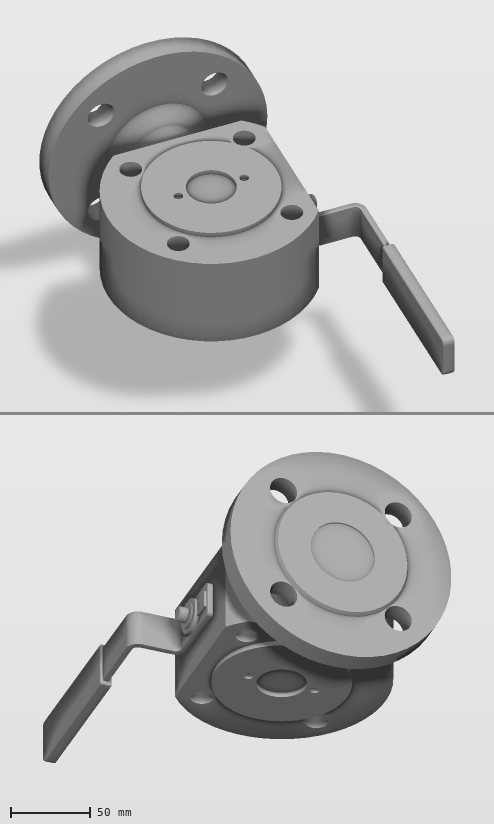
import cadquery as cq
import math


BODY_RADIUS = 70.5
BODY_HEIGHT = 64.7
FLAT_OFFSET = 55.2
PAD_RADIUS = 44.5
PAD_HEIGHT = 3.3
PORT_RADIUS = 16.0
PORT_DEPTH = 3.3
PIN_HOLE_RADIUS = 3.0
PIN_HOLE_DEPTH = 3.3
PIN_HOLE_OFFSET = 22.5
BOLT_OFFSET = 38.8
BODY_BOLT_RADIUS = 7.2

FLANGE_RADIUS = 75.0
FLANGE_THICKNESS = 15.0
FLANGE_BACK = -87.0
FLANGE_FRONT = FLANGE_BACK - FLANGE_THICKNESS
FLANGE_BOLT_RADIUS = 9.2
FACE_X = -105.2
FACE_BASE_RADIUS = 45.5
FACE_RADIUS = 43.8
FACE_PORT_RADIUS = 21.6
FACE_PORT_DEPTH = 1.0
NECK_RADIUS = 24.1
HUB_END = -77.7
HUB_BLEND_X = -85.5
HUB_BLEND_RADIUS = NECK_RADIUS + HUB_END - HUB_BLEND_X
HUB_RADIUS = 33.9
FLARE_LENGTH = 5.0
FLARE_RADIUS = 6.0

STRIP = 4.0
LEVER_GAP = 0.8
LEVER_WIDTH = 24.5
LEVER_START = -24.5
CRANK_X = 24.0
LEVER_TOP = 93.0
INNER_BEND = 4.0
LEVER_CORNER = 2.5
WASHER_RADIUS = 11.7
WASHER_HEIGHT = 3.3
CONE_BASE_RADIUS = 8.3
CONE_TOP_RADIUS = 9.2
CONE_HEIGHT = 1.7
STEM_RADIUS = 5.0
STEM_TOP = 70.8
STEM_CHAMFER = 0.8
STOP_START = -22.8
STOP_WIDTH = 11.0
STOP_HEIGHT = 1.7

GRIP_START = 72.2
OVERALL_LENGTH = 277.5
GRIP_END = FACE_X + OVERALL_LENGTH
GRIP_WIDTH = 30.0
GRIP_TOP = 94.5
GRIP_THICKNESS = 8.0
GRIP_CORNER = 4.2
GRIP_EDGE = 1.0
GRIP_WALL = (GRIP_WIDTH - LEVER_WIDTH) / 2

LEVER_BOTTOM = FLAT_OFFSET + LEVER_GAP
LEVER_BASE_TOP = LEVER_BOTTOM + STRIP
LEVER_END = GRIP_END - GRIP_WALL
GRIP_CENTRE_Y = GRIP_TOP - GRIP_THICKNESS / 2

BOLT_POINTS = [(sx * BOLT_OFFSET, sy * BOLT_OFFSET) for sx in (-1, 1) for sy in (-1, 1)]


def make_body():
    """Disc with two flats, raised pads, bolt holes and shallow recesses in both ends."""
    disc = cq.Workplane("XY").circle(BODY_RADIUS).extrude(BODY_HEIGHT / 2, both=True)
    side = FLAT_OFFSET + BODY_RADIUS
    shift = (BODY_RADIUS - FLAT_OFFSET) / 2
    limit_box = cq.Workplane("XY").box(side, side, BODY_HEIGHT).translate((shift, -shift, 0))
    pad_top = BODY_HEIGHT / 2 + PAD_HEIGHT
    pads = cq.Workplane("XY").circle(PAD_RADIUS).extrude(pad_top, both=True)
    body = disc.intersect(limit_box)
    bolt_holes = cq.Workplane("XY").pushPoints(BOLT_POINTS).circle(BODY_BOLT_RADIUS)
    body = body.cut(bolt_holes.extrude(BODY_HEIGHT, both=True)).union(pads)
    pin_points = [(0, -PIN_HOLE_OFFSET), (0, PIN_HOLE_OFFSET)]
    for direction in (-1, 1):
        end = cq.Workplane("XY", origin=(0, 0, direction * pad_top))
        port = end.circle(PORT_RADIUS).extrude(-direction * PORT_DEPTH)
        pin_holes = end.pushPoints(pin_points).circle(PIN_HOLE_RADIUS)
        pin_holes = pin_holes.extrude(-direction * PIN_HOLE_DEPTH)
        body = body.cut(port).cut(pin_holes)
    return body


def make_flange():
    """Flange, raised face, hub and neck turned about X, with bolt holes and a face recess."""
    flare_start = -FLAT_OFFSET - FLARE_LENGTH

    def flare_point(distance):
        """Point on the flare arc at this distance from its start on the neck."""
        rise = FLARE_RADIUS - math.sqrt(FLARE_RADIUS**2 - distance**2)
        return (flare_start + distance, NECK_RADIUS + rise)

    profile = (
        cq.Workplane("XY")
        .moveTo(-FLAT_OFFSET, 0)
        .lineTo(*flare_point(FLARE_LENGTH))
        .threePointArc(flare_point(FLARE_LENGTH / 2), flare_point(0))
        .lineTo(HUB_END, NECK_RADIUS)
        .lineTo(HUB_BLEND_X, HUB_BLEND_RADIUS)
        .tangentArcPoint((FLANGE_BACK, HUB_RADIUS), relative=False)
        .lineTo(FLANGE_BACK, FLANGE_RADIUS)
        .lineTo(FLANGE_FRONT, FLANGE_RADIUS)
        .lineTo(FLANGE_FRONT, FACE_BASE_RADIUS)
        .lineTo(FACE_X, FACE_RADIUS)
        .lineTo(FACE_X, 0)
        .close()
    )
    flange = profile.revolve(360, (0, 0, 0), (1, 0, 0))
    bolt_holes = cq.Workplane("YZ", origin=(FLANGE_FRONT, 0, 0)).pushPoints(BOLT_POINTS)
    bolt_holes = bolt_holes.circle(FLANGE_BOLT_RADIUS).extrude(FLANGE_THICKNESS)
    face_port = cq.Workplane("YZ", origin=(FACE_X, 0, 0)).circle(FACE_PORT_RADIUS)
    return flange.cut(bolt_holes).cut(face_port.extrude(FACE_PORT_DEPTH))


def make_strip():
    """Cranked strip of constant thickness with rounded bends and a rounded near end."""
    outer_bend = INNER_BEND + STRIP
    crank_right = CRANK_X + STRIP
    outline = [
        (LEVER_START, LEVER_BOTTOM),
        (crank_right, LEVER_BOTTOM),
        (crank_right, LEVER_TOP - STRIP),
        (LEVER_END, LEVER_TOP - STRIP),
        (LEVER_END, LEVER_TOP),
        (CRANK_X, LEVER_TOP),
        (CRANK_X, LEVER_BASE_TOP),
        (LEVER_START, LEVER_BASE_TOP),
    ]
    strip = cq.Workplane("XY").polyline(outline).close().extrude(LEVER_WIDTH / 2, both=True)

    def bend_edge(x, y):
        """Selector of the edge that runs along Z at this corner of the outline."""
        return cq.selectors.NearestToPointSelector((x, y, 0))

    for x, y, radius in (
        (crank_right, LEVER_BOTTOM, outer_bend),
        (CRANK_X, LEVER_BASE_TOP, INNER_BEND),
        (CRANK_X, LEVER_TOP, outer_bend),
        (crank_right, LEVER_TOP - STRIP, INNER_BEND),
    ):
        strip = strip.edges("|Z").edges(bend_edge(x, y)).fillet(radius)
    return strip.faces("<X").edges("|Y").fillet(LEVER_CORNER)


def make_lever():
    """Strip with its washer, spring cone, stop plate and a stem that stands on the body flat."""
    base = cq.Workplane("XZ", origin=(0, LEVER_BASE_TOP, 0))
    cone_bottom = LEVER_BASE_TOP + WASHER_HEIGHT
    cone_top = cone_bottom + CONE_HEIGHT
    stack_outline = [
        (0, FLAT_OFFSET),
        (STEM_RADIUS, FLAT_OFFSET),
        (STEM_RADIUS, LEVER_BASE_TOP),
        (WASHER_RADIUS, LEVER_BASE_TOP),
        (WASHER_RADIUS, cone_bottom),
        (CONE_BASE_RADIUS, cone_bottom),
        (CONE_TOP_RADIUS, cone_top),
        (STEM_RADIUS, cone_top),
        (STEM_RADIUS, STEM_TOP - STEM_CHAMFER),
        (STEM_RADIUS - STEM_CHAMFER, STEM_TOP),
        (0, STEM_TOP),
    ]
    stack = cq.Workplane("XY").polyline(stack_outline).close().revolve(360, (0, 0, 0), (0, 1, 0))
    stop = base.center(STOP_START / 2, 0).rect(-STOP_START, STOP_WIDTH).extrude(-STOP_HEIGHT)
    return make_strip().union(stack).union(stop)


def make_grip(lever):
    """Sleeve with rounded corners and edges, closed at +X, fitted over the lever."""
    length = GRIP_END - GRIP_START
    block = cq.Workplane("XY").box(length, GRIP_THICKNESS, GRIP_WIDTH)
    block = block.translate((GRIP_START + length / 2, GRIP_CENTRE_Y, 0))
    block = block.faces(">X").edges("|Y").fillet(GRIP_CORNER)
    return block.edges().fillet(GRIP_EDGE).cut(lever)


housing = make_body().union(make_flange())
lever = make_lever()
grip = make_grip(lever)

result = cq.Compound.makeCompound([housing.val(), lever.val(), grip.val()])